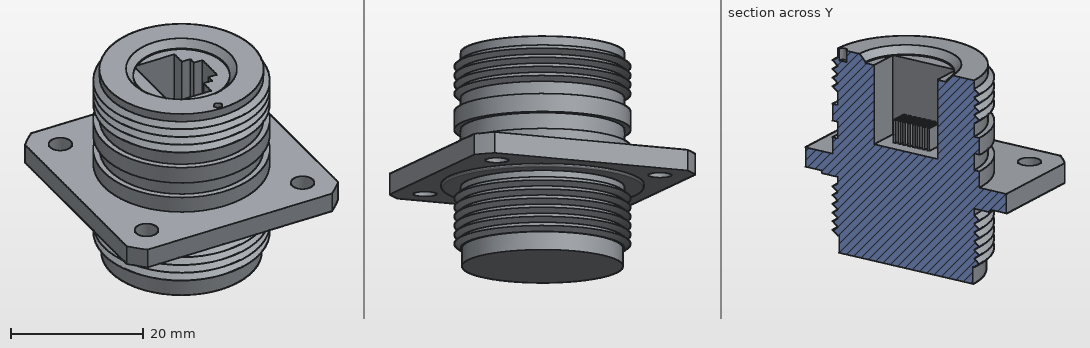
import cadquery as cq
import math

total_height = 33.05
tail_height = 2.78
flange_bottom = 12.65
flange_thickness = 3.22
flange_top = flange_bottom + flange_thickness
collar_height = 2.65
ring_bottom = 21.15
ring_height = 2.78
upper_thread_bottom = 26.0

neck_radius = 12.45
outer_radius = 13.4
tail_radius = 12.2
thread_pitch = 1.41
lower_thread_turns = 6
upper_thread_turns = 4

flange_side = 36.58
flange_corner_flat = 2.35
flange_hole_offset = 13.5
flange_hole_diameter = 3.55
gasket_radius = 15.4
gasket_thickness = 0.45
gasket_edge_radius = 0.22

mouth_radius = 7.3
mouth_cone_depth = 1.1
mouth_wall_depth = 0.2
mouth_floor = total_height - mouth_cone_depth - mouth_wall_depth

socket_depth = 12.8
socket_half_width = 5.75
socket_low_y = -5.05
socket_high_y = 1.95
keyway_steps = [(3.4, 3.4), (2.25, 4.85)]

contact_count = 8
contact_pitch = 0.875
contact_width = 0.45
contact_first_x = -2.85
contact_high_y = -2.12
contact_height = 3.65

index_hole_x = 11.5
index_hole_diameter = 1.28
index_hole_depth = 1.83


def disc(radius, bottom, height):
    return cq.Workplane("XY").workplane(offset=bottom).circle(radius).extrude(height)


def box_between(low_x, high_x, low_y, high_y, bottom, height):
    size_x = high_x - low_x
    size_y = high_y - low_y
    box = cq.Workplane("XY").box(size_x, size_y, height, centered=False)
    return box.translate((low_x, low_y, bottom))


def thread(bottom, turns):
    """Stack of V-shaped rings, each one pitch tall, with sharp crests."""
    profile = cq.Workplane("XZ").moveTo(0, bottom).lineTo(neck_radius, bottom)
    for turn in range(turns):
        root = bottom + turn * thread_pitch
        profile = profile.lineTo(outer_radius, root + thread_pitch / 2)
        profile = profile.lineTo(neck_radius, root + thread_pitch)
    profile = profile.lineTo(0, bottom + turns * thread_pitch).close()
    return profile.revolve(360, (0, 0, 0), (0, 1, 0))


def turned_body():
    body = disc(tail_radius, 0, tail_height)
    body = body.union(disc(neck_radius, tail_height, total_height - tail_height))
    body = body.union(disc(outer_radius, flange_top, collar_height))
    body = body.union(disc(outer_radius, ring_bottom, ring_height))
    body = body.union(thread(tail_height, lower_thread_turns))
    return body.union(thread(upper_thread_bottom, upper_thread_turns))


def flange():
    """Square plate whose corners are trimmed by one large circle about the axis."""
    half_side = flange_side / 2
    corner_radius = math.hypot(half_side, half_side - flange_corner_flat)
    plate = (
        cq.Workplane("XY")
        .workplane(offset=flange_bottom)
        .rect(flange_side, flange_side)
        .extrude(flange_thickness)
        .intersect(disc(corner_radius, flange_bottom, flange_thickness))
    )
    return (
        plate.faces(">Z")
        .workplane(origin=(0, 0, flange_top))
        .rect(2 * flange_hole_offset, 2 * flange_hole_offset, forConstruction=True)
        .vertices()
        .hole(flange_hole_diameter)
    )


def gasket():
    ring = disc(gasket_radius, flange_bottom - gasket_thickness, gasket_thickness)
    return ring.faces("<Z").edges().fillet(gasket_edge_radius)


def mouth():
    depth = mouth_cone_depth + mouth_wall_depth
    cone = cq.Solid.makeCone(
        mouth_radius,
        mouth_radius + mouth_cone_depth,
        mouth_cone_depth,
        pnt=cq.Vector(0, 0, total_height - mouth_cone_depth),
    )
    return disc(mouth_radius, mouth_floor, depth).union(cq.Workplane(cone))


def socket():
    bottom = mouth_floor - socket_depth
    cavity = box_between(
        -socket_half_width, socket_half_width, socket_low_y, socket_high_y, bottom, socket_depth
    )
    for half_width, high_y in keyway_steps:
        step = box_between(-half_width, half_width, socket_low_y, high_y, bottom, socket_depth)
        cavity = cavity.union(step)
    for index in range(contact_count):
        low_x = contact_first_x + index * contact_pitch
        contact = box_between(
            low_x, low_x + contact_width, socket_low_y, contact_high_y, bottom, contact_height
        )
        cavity = cavity.cut(contact)
    return cavity


def index_hole():
    hole = disc(index_hole_diameter / 2, total_height - index_hole_depth, index_hole_depth)
    return hole.translate((index_hole_x, 0, 0))


result = (
    turned_body()
    .union(flange())
    .union(gasket())
    .cut(mouth())
    .cut(socket())
    .cut(index_hole())
)